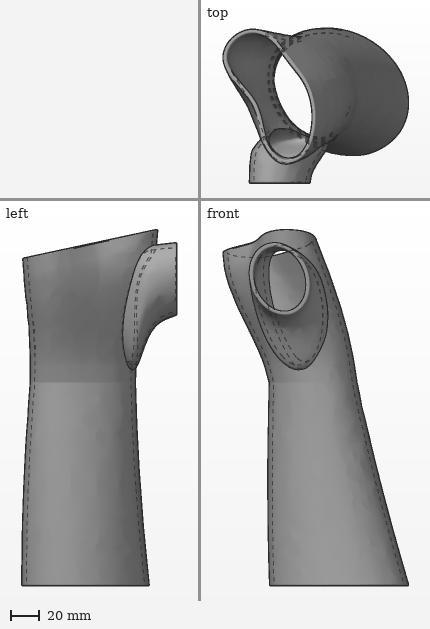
import cadquery as cq
import math

WALL = 3.2
RIM_ROUND = 1.0
OVERRUN = 2.5
WRIST_SKEW = 0.17
RIM_SLOPE = 0.215

HAND_RIM = [
    (18.5, 5.4), (22.8, 7.7), (25.6, 13.8), (25.9, 21.4), (23.7, 28.4), (18.5, 35.5), (13.8, 41.2),
    (8.6, 43.2), (3.4, 41.4), (0.1, 35.5), (3.4, 28.4), (8.6, 21.8), (10.5, 15.2), (12.8, 8.6),
]

WRIST_SECTION = (31.7, 94.0, 29.0, 102.8, 142.2, 0.1, 0)
FOREARM_SECTIONS = [
    (32.7, 130.5, 19.2, 108.8, 0, 0, 0),
    (31.5, 109.8, 26.0, 107.0, 74.8, 0, 0),
    WRIST_SECTION,
]
HAND_SECTIONS = [
    WRIST_SECTION,
    (19.2, 88.0, 25.5, 103.3, 174.5, 0.3, 0.2),
    (5.0, 78.0, 18.2, 105.8, 207, 0.5, 0.6),
    (0, 64.5, 13.5, 108.0, 239.5, 1, 1),
]

THUMB_SECTIONS = [
    (0, 18.5, 61.4, 189.5, 240.2),
    (8.7, 18.7, 63.4, 186.0, 239.5),
    (17.5, 19.2, 68.5, 178.4, 238.2),
    (27.5, 23.5, 73.5, 154.7, 237),
    (40, 35, 69.8, 164.6, 232),
]


def middle(low, high):
    return (low + high) / 2


def unit_outline(points):
    """Scale an outline to run from -1 to 1 along both axes."""
    xs = [x for x, y in points]
    ys = [y for x, y in points]
    half_x = (max(xs) - min(xs)) / 2
    half_y = (max(ys) - min(ys)) / 2
    x_mid = middle(min(xs), max(xs))
    y_mid = middle(min(ys), max(ys))
    return [((x - x_mid) / half_x, (y - y_mid) / half_y) for x, y in points]


UNIT_HAND = unit_outline(HAND_RIM)
COUNT = len(HAND_RIM)
ROUND_START = 0.2 - math.pi / 2
ANGLES = [ROUND_START + 2 * math.pi * i / COUNT for i in range(COUNT)]
UNIT_ROUND = [(math.cos(angle), math.sin(angle - WRIST_SKEW)) for angle in ANGLES]


def inset(points, distance):
    """Move each point inward, square to the line between its neighbours."""
    moved = []
    for i, (x, y) in enumerate(points):
        x_before, y_before = points[i - 1]
        x_after, y_after = points[(i + 1) % len(points)]
        dx = x_after - x_before
        dy = y_after - y_before
        length = math.hypot(dx, dy)
        moved.append((x - distance * dy / length, y + distance * dx / length))
    return moved


def closed_curve(points):
    edge = cq.Edge.makeSpline([cq.Vector(*point) for point in points], periodic=True)
    return cq.Wire.assembleEdges([edge])


def sleeve_curve(section, depth, lift=0):
    x_min, x_max, y_min, y_max, height, hand, slope = section
    x_mid = middle(x_min, x_max)
    y_mid = middle(y_min, y_max)
    outline = []
    for (round_x, round_y), (hand_x, hand_y) in zip(UNIT_ROUND, UNIT_HAND):
        unit_x = round_x + hand * (hand_x - round_x)
        unit_y = round_y + hand * (hand_y - round_y)
        outline.append((x_mid + unit_x * (x_max - x_min) / 2, y_mid + unit_y * (y_max - y_min) / 2))
    drop = slope * RIM_SLOPE
    return closed_curve([(x, y, height + lift - drop * (y - y_mid)) for x, y in inset(outline, depth)])


def thumb_curve(section, depth, shift=0):
    y, x_min, x_max, z_min, z_max = section
    x_radius = (x_max - x_min) / 2 - depth
    z_radius = (z_max - z_min) / 2 - depth
    x_mid = middle(x_min, x_max)
    z_mid = middle(z_min, z_max)
    return closed_curve(
        [(x_mid + x_radius * u, y + shift, z_mid + z_radius * v) for u, v in UNIT_ROUND]
    )


def loft(curves, ruled=False):
    return cq.Workplane(obj=cq.Solid.makeLoft(curves, ruled))


def open_end(curve_at, section, shift):
    """Short straight plug that carries a bore out past its open end."""
    return loft([curve_at(section, WALL, min(0, shift)), curve_at(section, WALL, max(0, shift))], ruled=True)


forearm = loft([sleeve_curve(section, 0) for section in FOREARM_SECTIONS])
hand = loft([sleeve_curve(section, 0) for section in HAND_SECTIONS])
thumb = loft([thumb_curve(section, 0) for section in THUMB_SECTIONS])
outside = forearm.union(hand).union(thumb)

passages = [
    loft([sleeve_curve(section, WALL) for section in FOREARM_SECTIONS]),
    loft([sleeve_curve(section, WALL) for section in HAND_SECTIONS]),
    loft([thumb_curve(section, WALL) for section in THUMB_SECTIONS]),
    open_end(sleeve_curve, FOREARM_SECTIONS[0], -OVERRUN),
    open_end(sleeve_curve, HAND_SECTIONS[-1], OVERRUN),
    open_end(thumb_curve, THUMB_SECTIONS[0], -OVERRUN),
]

result = outside
for passage in passages:
    result = result.cut(passage)

result = result.faces("<Z").edges().fillet(RIM_ROUND)
result = result.faces("<Y").edges().fillet(RIM_ROUND)
hand_direction = cq.Vector(0, RIM_SLOPE, 1)
hand_face = cq.selectors.DirectionMinMaxSelector(hand_direction, True)
result = result.faces(hand_face).edges().fillet(RIM_ROUND)